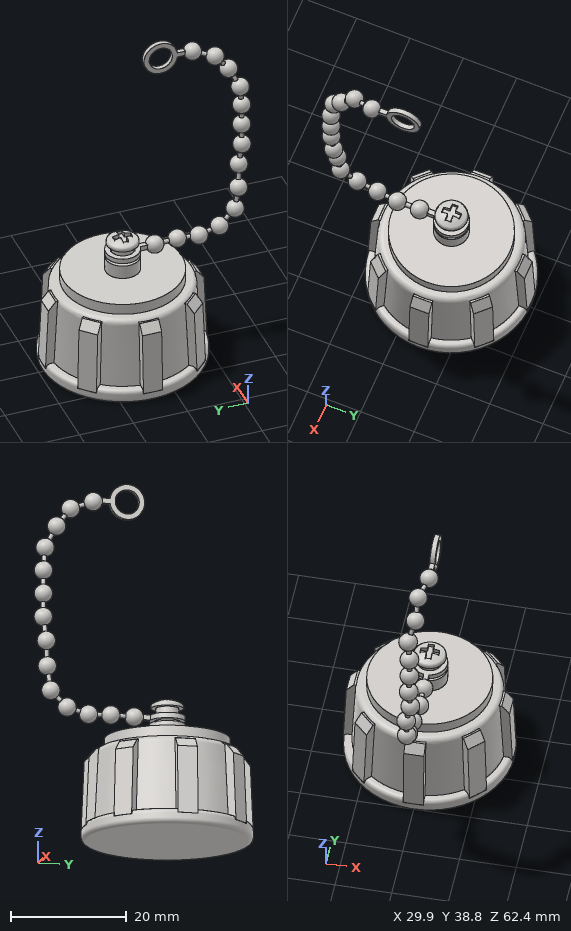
import cadquery as cq

FLANGE_R = 29.9 / 2
FLANGE_TOP_Z = 2.7
FLANGE_TOP_ROUND = 0.8
FLANGE_BOTTOM_ROUND = 0.9

SKIRT_BASE_R = 13.5
SKIRT_TOP_R = 12.85
SHOULDER_Z = 16.15
SHOULDER_ROUND = 1.2

DISC_R = 10.9
DISC_TOP_Z = 18.2

POST_R = 3.1
POST_TOP_Z = 20.8
NECK_R = 2.0

HEAD_R = 2.85
HEAD_UNDERSIDE_Z = 23.65
HEAD_RIM_HEIGHT = 0.6
HEAD_RIM_ROUND = 0.5
HEAD_TOP_Z = 25.2
RECESS_SPAN = 3.3
RECESS_SLOT = 1.0
RECESS_DEPTH = 0.9

RIB_COUNT = 8
RIB_WIDTH = 3.55
RIB_BOTTOM_Z = FLANGE_TOP_Z - FLANGE_TOP_ROUND
RIB_BEVEL_Z = 13.85
RIB_TOP_Z = 15.5
RIB_BEVEL_R = 14.4
RIB_TOP_R = 13.05
RIB_ROOT_R = 11.2

RING_R = 3.1
RING_BORE_R = 2.1
RING_THICKNESS = 0.95
BEAD_R = 1.6
LINK_R = 0.45

NECK_RING_CENTRE = (0, 0, 21.8)
FREE_RING_CENTRE = (2.55, -7.85, 59.25)
BEAD_CENTRES = [
    (0.05, -5.9, 21.8),
    (0.1, -10.1, 21.95),
    (-0.3, -13.95, 21.95),
    (-0.3, -17.8, 23.0),
    (0.0, -20.75, 25.75),
    (0.0, -21.4, 30.05),
    (0.8, -21.75, 34.35),
    (0.6, -22.25, 38.6),
    (0.75, -22.25, 42.7),
    (0.75, -22.25, 46.85),
    (0.45, -21.9, 50.95),
    (1.4, -20.1, 54.6),
    (1.4, -17.6, 57.9),
    (2.55, -13.85, 59.05),
]


def turned_cap():
    """Flange, tapered skirt, disc, post, neck and domed head as one turned shape."""
    round_mid = 0.5 ** 0.5
    top_round_r = FLANGE_R - FLANGE_TOP_ROUND
    bottom_round_r = FLANGE_R - FLANGE_BOTTOM_ROUND
    shoulder_round_r = SKIRT_TOP_R - SHOULDER_ROUND
    shoulder_round_z = SHOULDER_Z - SHOULDER_ROUND
    rim_top_z = HEAD_UNDERSIDE_Z + HEAD_RIM_HEIGHT
    dome_height = HEAD_TOP_Z - rim_top_z
    dome_r = (HEAD_R ** 2 + dome_height ** 2) / (2 * dome_height)
    dome_mid_r = HEAD_R / 2
    dome_mid_z = HEAD_TOP_Z - dome_r + (dome_r ** 2 - dome_mid_r ** 2) ** 0.5
    turned = (
        cq.Workplane("XZ")
        .moveTo(0, 0)
        .lineTo(bottom_round_r, 0)
        .threePointArc(
            (bottom_round_r + FLANGE_BOTTOM_ROUND * round_mid, FLANGE_BOTTOM_ROUND * (1 - round_mid)),
            (FLANGE_R, FLANGE_BOTTOM_ROUND),
        )
        .lineTo(FLANGE_R, RIB_BOTTOM_Z)
        .threePointArc(
            (top_round_r + FLANGE_TOP_ROUND * round_mid, RIB_BOTTOM_Z + FLANGE_TOP_ROUND * round_mid),
            (top_round_r, FLANGE_TOP_Z),
        )
        .lineTo(SKIRT_BASE_R, FLANGE_TOP_Z)
        .lineTo(SKIRT_TOP_R, shoulder_round_z)
        .threePointArc(
            (shoulder_round_r + SHOULDER_ROUND * round_mid, shoulder_round_z + SHOULDER_ROUND * round_mid),
            (shoulder_round_r, SHOULDER_Z),
        )
        .lineTo(DISC_R, SHOULDER_Z)
        .lineTo(DISC_R, DISC_TOP_Z)
        .lineTo(POST_R, DISC_TOP_Z)
        .lineTo(POST_R, POST_TOP_Z)
        .lineTo(NECK_R, POST_TOP_Z)
        .lineTo(NECK_R, HEAD_UNDERSIDE_Z)
        .lineTo(HEAD_R, HEAD_UNDERSIDE_Z)
        .lineTo(HEAD_R, rim_top_z)
        .threePointArc((dome_mid_r, dome_mid_z), (0, HEAD_TOP_Z))
        .close()
        .revolve(360, (0, 0, 0), (0, 1, 0))
    )
    rim_corner = (0, -HEAD_R, rim_top_z)
    return turned.edges(cq.selectors.NearestToPointSelector(rim_corner)).fillet(HEAD_RIM_ROUND)


def grip_rib():
    """One upright rib on the +X side, tapered like the skirt and bevelled at its top."""
    profile = [
        (RIB_ROOT_R, RIB_BOTTOM_Z),
        (FLANGE_R, RIB_BOTTOM_Z),
        (RIB_BEVEL_R, RIB_BEVEL_Z),
        (RIB_TOP_R, RIB_TOP_Z),
        (RIB_ROOT_R, RIB_TOP_Z),
    ]
    return cq.Workplane("XZ").polyline(profile).close().extrude(RIB_WIDTH / 2, both=True)


def cross_recess():
    """Cutter for the cross recess in the screw head."""
    recess = cq.Workplane("XY").workplane(offset=HEAD_TOP_Z - RECESS_DEPTH)
    bar_along_x = recess.rect(RECESS_SPAN, RECESS_SLOT).extrude(RECESS_DEPTH)
    bar_along_y = recess.rect(RECESS_SLOT, RECESS_SPAN).extrude(RECESS_DEPTH)
    return bar_along_x.union(bar_along_y)


def make_cap():
    cap = turned_cap()
    for index in range(RIB_COUNT):
        cap = cap.union(grip_rib().rotate((0, 0, 0), (0, 0, 1), index * 360 / RIB_COUNT))
    return cap.cut(cross_recess())


def chain_ring(centre, axis):
    """Flat ring about the given centre, its hole running along the axis."""
    axis_plane = cq.Plane(origin=centre, normal=axis)
    return (
        cq.Workplane(axis_plane)
        .circle(RING_R)
        .circle(RING_BORE_R)
        .extrude(RING_THICKNESS / 2, both=True)
    )


def link(start, end):
    """Round wire between two points."""
    start_point = cq.Vector(*start)
    span = cq.Vector(*end) - start_point
    return cq.Workplane(cq.Solid.makeCylinder(LINK_R, span.Length, start_point, span))


def ring_tab(ring_centre, bead_centre):
    """Square tab, flush with the ring's faces, running in -Y from the ring's band to a bead."""
    x, y, z = ring_centre
    band_y = y - (RING_R + RING_BORE_R) / 2
    length = band_y - bead_centre[1]
    return cq.Workplane("XY").box(RING_THICKNESS, length, RING_THICKNESS).translate(
        (x, band_y - length / 2, z)
    )


def make_chain():
    chain = chain_ring(NECK_RING_CENTRE, (0, 0, 1)).union(chain_ring(FREE_RING_CENTRE, (1, 0, 0)))
    chain = chain.union(ring_tab(NECK_RING_CENTRE, BEAD_CENTRES[0]))
    chain = chain.union(ring_tab(FREE_RING_CENTRE, BEAD_CENTRES[-1]))
    for start, end in zip(BEAD_CENTRES, BEAD_CENTRES[1:]):
        chain = chain.union(link(start, end))
    for centre in BEAD_CENTRES:
        chain = chain.union(cq.Workplane("XY").sphere(BEAD_R).translate(centre))
    return chain


cap = make_cap()
chain = make_chain()

result = cq.Compound.makeCompound([cap.solids().val(), chain.solids().val()])